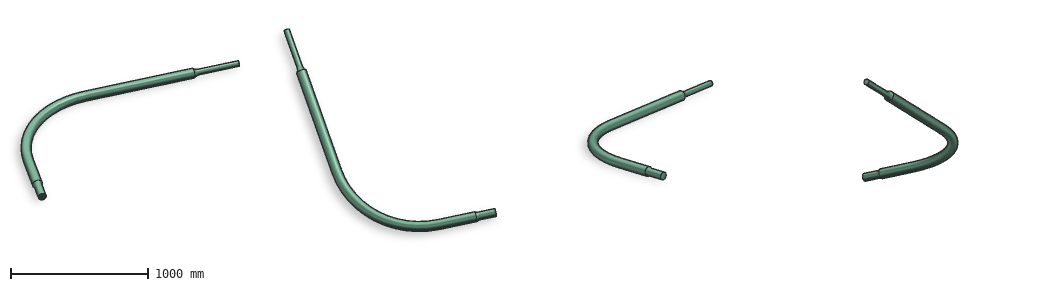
import cadquery as cq
import math

overall_length = 1880.0
tube_radius = 75.0 / 2
bend_radius = 632.0
bend_angle = 85.0

long_leg_length = 835.0
long_neck_length = 41.0
long_spigot_radius = 43.0 / 2

short_leg_length = 278.0
short_neck_length = 20.0
short_spigot_length = 128.0
short_spigot_radius = 60.0 / 2

angle = math.radians(bend_angle)
short_side_length = short_leg_length + short_neck_length + short_spigot_length
reach_below_bend = (
    (bend_radius + short_spigot_radius) * math.sin(angle) + short_side_length * math.cos(angle)
)

long_spigot_length = overall_length - reach_below_bend - long_leg_length - long_neck_length


def stepped_leg(leg_length, neck_length, spigot_length, spigot_radius):
    """Round leg along +Y from the origin, narrowing through a concave neck to a spigot."""
    neck_end = leg_length + neck_length
    tip = neck_end + spigot_length
    profile = (
        cq.Workplane("XY")
        .lineTo(0, tip)
        .lineTo(spigot_radius, tip)
        .lineTo(spigot_radius, neck_end)
        .tangentArcPoint((tube_radius, leg_length), relative=False)
        .lineTo(tube_radius, 0)
        .close()
    )
    return profile.revolve(360, (0, 0, 0), (0, 1, 0))


long_leg = stepped_leg(long_leg_length, long_neck_length, long_spigot_length, long_spigot_radius)

bend = (
    cq.Workplane("XZ")
    .circle(tube_radius)
    .revolve(bend_angle, (bend_radius, 0, 0), (bend_radius, 1, 0))
)

short_leg = (
    stepped_leg(short_leg_length, short_neck_length, short_spigot_length, short_spigot_radius)
    .rotate((0, 0, 0), (0, 0, 1), 180)
    .rotate((bend_radius, 0, 0), (bend_radius, 0, 1), bend_angle)
)

result = long_leg.union(bend).union(short_leg)